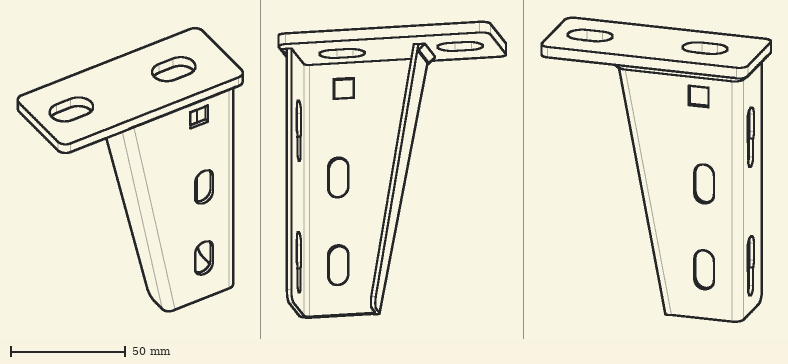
import cadquery as cq
import math


plate_width = 40.0
plate_length = 95.0
plate_thickness = 4.9
plate_corner_radius = 4.0
plate_slot_width = 12.9
plate_slot_length = 20.1
plate_slot_centers_y = (-30.5, 22.5)

overall_height = 120.4
sheet = 2.0
inner_bend_radius = 2.0
outer_bend_radius = inner_bend_radius + sheet
flange_corner_radius = 4.7
web_x = 17.0
back_y = 44.5
back_flange_width = 29.9
front_tip_y = 8.5
front_tilt = 10.8
front_flange_top_width = 24.9
front_flange_bottom_width = 14.9

web_slot_width = 9.0
web_slot_length = 18.1
web_slot_y = 27.6
web_slot_centers_z = (-57.0, -96.9)
square_side = 9.0
square_y = 25.0
square_z = -16.5

step_slot_x = 2.9
wide_slot_width = 8.9
wide_slot_top_z = -88.9
wide_slot_bottom_z = -96.9
narrow_slot_width = 6.6
narrow_slot_bottom_z = -108.4
step_slot_spacing = 60.0

weld_leg = 2.8
weld_end_gap = 0.2
weld_root = 1.2

tilt = math.radians(front_tilt)
plate_bottom_z = -plate_thickness
bend_start_y = front_tip_y + outer_bend_radius * math.cos(tilt)
web_bottom_z = -overall_height + outer_bend_radius * math.sin(tilt)
web_height = plate_bottom_z - web_bottom_z
web_top_y = bend_start_y - web_height * math.tan(tilt)
front_length = web_height / math.cos(tilt)
front_top_y = web_top_y - outer_bend_radius / math.cos(tilt)
bend_diagonal = math.sqrt(0.5)


def slot_profile(workplane, width, length):
    return workplane.slot2D(length, width, 90)


def make_plate():
    plate = (
        cq.Workplane("XY", origin=(0, 0, plate_bottom_z))
        .rect(plate_width, plate_length)
        .extrude(plate_thickness)
        .edges("|Z").fillet(plate_corner_radius)
    )
    slot_centers = [(0, y) for y in plate_slot_centers_y]
    slots = cq.Workplane("XY", origin=(0, 0, plate_bottom_z)).pushPoints(slot_centers)
    return plate.cut(slot_profile(slots, plate_slot_width, plate_slot_length).extrude(plate_thickness))


def bent_flange(workplane, width, length):
    """L-bend whose outer corner is the local origin, with the flange toward -x and the web end toward +y."""
    bend_center_x = -outer_bend_radius
    bend_center_y = outer_bend_radius
    outer_mid = outer_bend_radius * bend_diagonal
    inner_mid = inner_bend_radius * bend_diagonal
    return (
        workplane.moveTo(-width, 0)
        .lineTo(bend_center_x, 0)
        .threePointArc((bend_center_x + outer_mid, bend_center_y - outer_mid), (0, bend_center_y))
        .lineTo(-sheet, bend_center_y)
        .threePointArc((bend_center_x + inner_mid, bend_center_y - inner_mid), (bend_center_x, sheet))
        .lineTo(-width, sheet)
        .close()
        .extrude(length)
    )


def make_web():
    return (
        cq.Workplane("YZ", origin=(web_x - sheet, 0, 0))
        .polyline([
            (back_y - outer_bend_radius, plate_bottom_z),
            (back_y - outer_bend_radius, web_bottom_z),
            (bend_start_y, web_bottom_z),
            (web_top_y, plate_bottom_z),
        ])
        .close()
        .extrude(sheet)
    )


def make_back_flange():
    flange = bent_flange(cq.Workplane("XY"), back_flange_width, web_height)
    flange = flange.mirror("XZ").translate((web_x, back_y, web_bottom_z))
    return flange.edges("|Y").edges("<X").edges("<Z").fillet(flange_corner_radius)


def make_front_flange():
    trim_allowance = outer_bend_radius
    stock_length = front_length + trim_allowance
    flange = bent_flange(cq.Workplane("XY"), front_flange_top_width + trim_allowance, stock_length)
    widening = (front_flange_top_width - front_flange_bottom_width) / front_length
    outline = (
        cq.Workplane("XZ")
        .polyline([
            (0, 0),
            (-front_flange_bottom_width, 0),
            (-front_flange_bottom_width - widening * stock_length, stock_length),
            (0, stock_length),
        ])
        .close()
        .extrude(-outer_bend_radius)
        .edges("|Y").edges("<Z").edges("<X").fillet(flange_corner_radius)
    )
    flange = flange.intersect(outline).rotate((0, 0, 0), (1, 0, 0), front_tilt)
    flange = flange.translate((web_x, front_tip_y, -overall_height))
    above = (
        cq.Workplane("XY", origin=(0, 0, plate_bottom_z))
        .rect(2 * plate_length, 2 * plate_length)
        .extrude(overall_height)
    )
    return flange.cut(above)


def make_weld():
    """Triangular bead swept along the outside of the flanges and the web."""
    back_end_x = web_x - back_flange_width + weld_end_gap
    front_end_x = web_x - front_flange_top_width + weld_end_gap
    bend_x = web_x - outer_bend_radius
    mid_offset = outer_bend_radius * (1 - bend_diagonal)
    path = (
        cq.Workplane("XY", origin=(0, 0, plate_bottom_z))
        .moveTo(back_end_x, back_y)
        .lineTo(bend_x, back_y)
        .threePointArc((web_x - mid_offset, back_y - mid_offset), (web_x, back_y - outer_bend_radius))
        .lineTo(web_x, front_top_y + outer_bend_radius)
        .threePointArc((web_x - mid_offset, front_top_y + mid_offset), (bend_x, front_top_y))
        .lineTo(front_end_x, front_top_y)
    )
    return (
        cq.Workplane("YZ", origin=(back_end_x, back_y, plate_bottom_z))
        .polyline([(-weld_root, 0), (weld_leg, 0), (0, -weld_leg), (-weld_root, -weld_leg)])
        .close()
        .sweep(path)
    )


def web_openings():
    web_plane = cq.Workplane("YZ", origin=(web_x - sheet, 0, 0))
    slots = slot_profile(
        web_plane.pushPoints([(web_slot_y, z) for z in web_slot_centers_z]),
        web_slot_width, web_slot_length,
    ).extrude(sheet)
    square = web_plane.center(square_y, square_z).rect(square_side, square_side).extrude(sheet)
    return slots.union(square)


def stepped_slot(rise):
    def stretch(width, top_z, bottom_z):
        middle = (step_slot_x, rise + (top_z + bottom_z) / 2)
        plane = cq.Workplane("XZ", origin=(0, back_y, 0)).center(*middle)
        return slot_profile(plane, width, top_z - bottom_z + width).extrude(sheet)

    wide = stretch(wide_slot_width, wide_slot_top_z, wide_slot_bottom_z)
    return wide.union(stretch(narrow_slot_width, wide_slot_top_z, narrow_slot_bottom_z))


def make_bracket():
    bracket = make_web().union(make_back_flange()).union(make_front_flange()).union(make_weld())
    bracket = bracket.cut(web_openings())
    for rise in (0, step_slot_spacing):
        bracket = bracket.cut(stepped_slot(rise))
    return bracket


plate = make_plate()
bracket = make_bracket()
result = cq.Compound.makeCompound([plate.val(), *bracket.vals()])